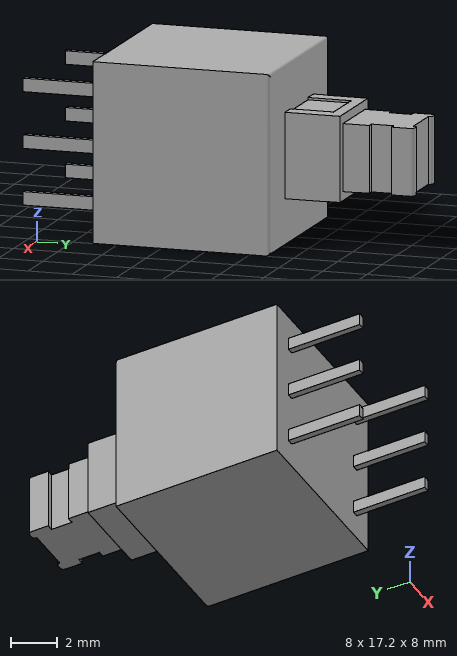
import cadquery as cq

total_length = 17.19
body_size = 8.0
body_edge_radius = 0.15

pin_length = 3.5
pin_width = 0.3
pin_height = 0.6
pin_column_spacing = 5.69
pin_row_spacing = 2.5
pin_rise = 0.02

collar_size = 3.8
collar_length = 2.5
recess_width = 2.35
recess_end_wall = 0.53
recess_depth = 0.1

plunger_size = 2.99
neck_length = 1.19
notch_length = 1.0
notch_depth = 0.3
horn_width = 0.5
horn_height = 0.17
horn_outer_radius = 0.2

collar_start = body_size
collar_end = collar_start + collar_length
plunger_tip = total_length - pin_length


def box_along_y(width, height, start, end):
    """Box centred on the Y axis between two stations."""
    return cq.Workplane("XY").box(width, end - start, height).translate((0, (start + end) / 2, 0))


def make_body():
    """Cube with the edges of its plunger-side face rounded."""
    body = box_along_y(body_size, body_size, 0, body_size)
    return body.faces(">Y").edges().fillet(body_edge_radius)


def make_collar():
    """Square collar with a shallow recess in its top that runs back to the body."""
    collar = box_along_y(collar_size, collar_size, collar_start, collar_end)
    recess = box_along_y(recess_width, recess_depth, collar_start, collar_end - recess_end_wall)
    return collar.cut(recess.translate((0, 0, (collar_size - recess_depth) / 2)))


def make_plunger():
    """Square plunger with side notches and two rounded horns at its tip."""
    half_width = plunger_size / 2
    notch_start = collar_end + neck_length
    notch_end = notch_start + notch_length
    horn_base = plunger_tip - horn_height
    horn_inner_x = half_width - horn_width

    half_plunger = (
        cq.Workplane("XY", origin=(0, 0, -half_width))
        .moveTo(0, collar_end)
        .lineTo(half_width, collar_end)
        .lineTo(half_width, notch_start)
        .lineTo(half_width - notch_depth, notch_start)
        .lineTo(half_width - notch_depth, notch_end)
        .lineTo(half_width, notch_end)
        .lineTo(half_width, plunger_tip - horn_outer_radius)
        .radiusArc((half_width - horn_outer_radius, plunger_tip), -horn_outer_radius)
        .lineTo(horn_inner_x + horn_height, plunger_tip)
        .radiusArc((horn_inner_x, horn_base), -horn_height)
        .lineTo(0, horn_base)
        .close()
        .extrude(plunger_size)
    )
    return half_plunger.union(half_plunger.mirror("YZ")).clean()


def make_pins():
    """Two columns of three rectangular pins, set slightly above the body centre."""
    return (
        cq.Workplane("XZ", origin=(0, 0, pin_rise))
        .rarray(pin_column_spacing, pin_row_spacing, 2, 3)
        .rect(pin_width, pin_height)
        .extrude(pin_length)
    )


result = make_body().union(make_collar()).union(make_plunger()).union(make_pins())